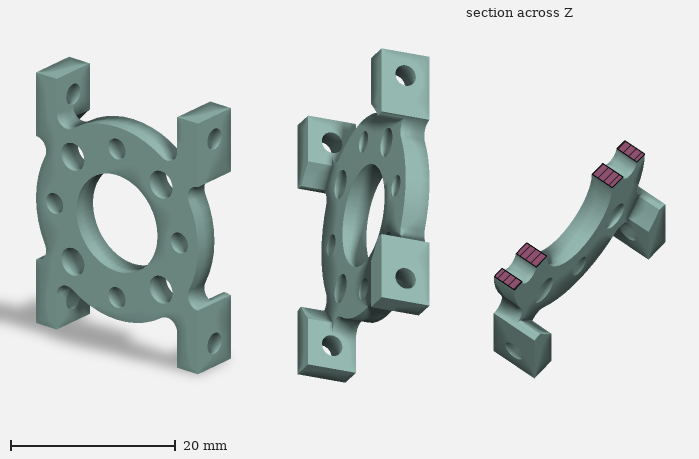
import cadquery as cq
import math

disc_radius = 12.7
total_height = 33.02
plate_thickness = 3.175
leg_depth = 6.35
leg_width = 3.25
blend_radius = 1.5875

pad_height = 8.5
recess_radius = 14.07

holes_per_ring = 4
bore_diameter = 12.7
hole_circle_radius = 9.78
small_hole_diameter = 2.7
large_hole_diameter = 3.6
leg_hole_diameter = 2.7
leg_hole_height = 13.46

half_height = total_height / 2
leg_inner_x = disc_radius - leg_width
blend_center_distance = disc_radius + blend_radius
contact_ratio = disc_radius / blend_center_distance
side_blend_x = disc_radius
side_blend_z = math.sqrt(blend_center_distance**2 - side_blend_x**2)
leg_bottom_z = side_blend_z + blend_radius
inner_blend_x = leg_inner_x - blend_radius
inner_blend_z = math.sqrt(blend_center_distance**2 - inner_blend_x**2)


def xz_plane_at(y):
    """XZ workplane at the given Y; its normal is -Y, so negative extrusions run toward +Y."""
    return cq.Workplane("XZ", origin=(0, y, 0))


def corner_web(depth):
    """Upper +X leg with the material joining it to the disc, bounded by the two blend arcs."""
    side_contact = (side_blend_x * contact_ratio, side_blend_z * contact_ratio)
    inner_contact = (inner_blend_x * contact_ratio, inner_blend_z * contact_ratio)

    side_contact_angle = math.atan2(-side_blend_z, -side_blend_x) % (2 * math.pi)
    side_mid_angle = (math.pi / 2 + side_contact_angle) / 2
    side_mid = (
        side_blend_x + blend_radius * math.cos(side_mid_angle),
        side_blend_z + blend_radius * math.sin(side_mid_angle),
    )

    inner_contact_angle = math.atan2(-inner_blend_z, -inner_blend_x)
    inner_mid_angle = inner_contact_angle / 2
    inner_mid = (
        inner_blend_x + blend_radius * math.cos(inner_mid_angle),
        inner_blend_z + blend_radius * math.sin(inner_mid_angle),
    )

    return (
        xz_plane_at(0)
        .moveTo(0, 0)
        .lineTo(*side_contact)
        .threePointArc(side_mid, (side_blend_x, leg_bottom_z))
        .lineTo(disc_radius, half_height)
        .lineTo(leg_inner_x, half_height)
        .lineTo(leg_inner_x, inner_blend_z)
        .threePointArc(inner_mid, inner_contact)
        .close()
        .extrude(-depth)
    )


def leg_pad():
    """Full-depth upper +X leg, cleared around the disc by the round recess behind the plate."""
    pad = (
        cq.Workplane("XY")
        .box(leg_width, leg_depth, pad_height, centered=False)
        .translate((leg_inner_x, 0, half_height - pad_height))
        .intersect(corner_web(leg_depth))
    )
    recess = xz_plane_at(plate_thickness).circle(recess_radius).extrude(plate_thickness - leg_depth)
    return pad.cut(recess)


def in_four_corners(shape):
    """Copies of an upper +X shape mirrored to all four corners."""
    upper = shape.union(shape.mirror("YZ"))
    return upper.union(upper.mirror("XY"))


def plate():
    """Round plate with its four corner legs at plate thickness."""
    disc = xz_plane_at(0).circle(disc_radius).extrude(-plate_thickness)
    return disc.union(in_four_corners(corner_web(plate_thickness)))


def ring_holes(diameter, start_angle):
    """Cutters evenly spaced on the hole circle."""
    return (
        xz_plane_at(0)
        .polarArray(hole_circle_radius, start_angle, 360, holes_per_ring)
        .circle(diameter / 2)
        .extrude(-plate_thickness)
    )


def leg_holes():
    """Cutters along X through the upper and lower -X legs."""
    return (
        cq.Workplane("YZ", origin=(-disc_radius, 0, 0))
        .pushPoints([(leg_depth / 2, z) for z in (leg_hole_height, -leg_hole_height)])
        .circle(leg_hole_diameter / 2)
        .extrude(leg_width)
    )


bore = xz_plane_at(0).circle(bore_diameter / 2).extrude(-plate_thickness)
left_leg_holes = leg_holes()

result = plate().union(in_four_corners(leg_pad()))
result = result.cut(bore)
result = result.cut(ring_holes(small_hole_diameter, 0))
result = result.cut(ring_holes(large_hole_diameter, 180 / holes_per_ring))
result = result.cut(left_leg_holes).cut(left_leg_holes.mirror("YZ"))